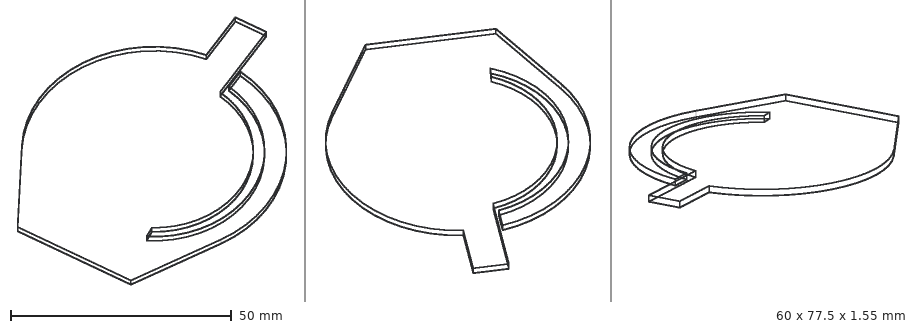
import cadquery as cq
import math

thickness = 1.55
plate_radius = 30.0

foot_half_width = plate_radius / 2
total_length = 77.5
foot_reach = 35.0

tab_width = 8.2
tab_reach = total_length - foot_reach

slot_inner_radius = 22.5
slot_outer_radius = 25.0
ring_end_x = 4.95
slot_end_inner_x = 11.15
slot_end_outer_x = 11.5


def circle_height(radius, x):
    """Distance from the X axis to a circle about the origin, at the given x."""
    return math.sqrt(radius**2 - x**2)


def make_plate():
    """Round plate."""
    return cq.Workplane("XY").circle(plate_radius).extrude(thickness)


def make_foot():
    """Foot from the two tangent points on the plate down to its straight end."""
    corner_distance = math.hypot(foot_half_width, foot_reach)
    corner_angle = math.atan2(-foot_reach, foot_half_width)
    tangent_angle = corner_angle + math.acos(plate_radius / corner_distance)
    tangent_x = plate_radius * math.cos(tangent_angle)
    tangent_y = plate_radius * math.sin(tangent_angle)
    corners = [
        (-tangent_x, tangent_y),
        (-foot_half_width, -foot_reach),
        (foot_half_width, -foot_reach),
        (tangent_x, tangent_y),
    ]
    return cq.Workplane("XY").polyline(corners).close().extrude(thickness)


def make_tab():
    """Straight tab running out from the plate centre toward +Y."""
    return cq.Workplane("XY").box(tab_width, tab_reach, thickness, centered=(True, False, False))


def make_slot():
    """Through slot that follows the disc and opens to the rim beside the tab."""
    tab_side_x = tab_width / 2
    return (
        cq.Workplane("XY")
        .moveTo(tab_side_x, circle_height(slot_inner_radius, tab_side_x))
        .threePointArc(
            (slot_inner_radius, 0),
            (slot_end_inner_x, -circle_height(slot_inner_radius, slot_end_inner_x)),
        )
        .lineTo(slot_end_outer_x, -circle_height(slot_outer_radius, slot_end_outer_x))
        .threePointArc(
            (slot_outer_radius, 0),
            (ring_end_x, circle_height(slot_outer_radius, ring_end_x)),
        )
        .lineTo(ring_end_x, plate_radius)
        .lineTo(tab_side_x, plate_radius)
        .close()
        .extrude(thickness)
    )


result = make_plate().union(make_foot()).union(make_tab()).cut(make_slot())